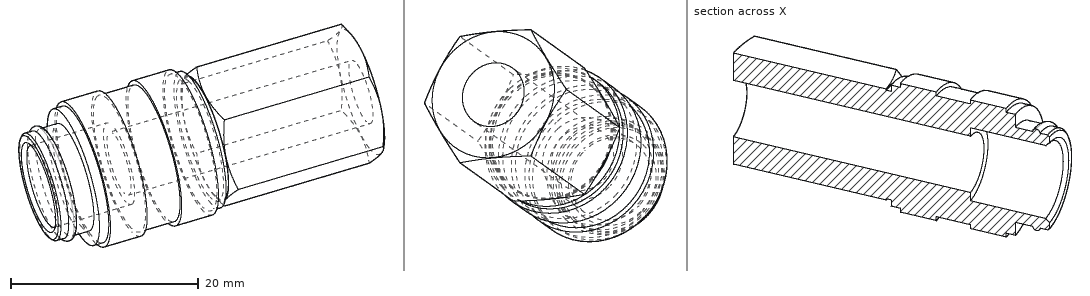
import cadquery as cq
import math

length = 37.0
hex_flats = 14.0
hex_start = 19.1
hex_corner_radius = hex_flats / 2 / math.cos(math.radians(30))
hex_chamfer_angle = 30.0
hex_face_radius = hex_flats / 2 - 0.05

nose_radius = 6.0
nose_chamfer = 0.22
sleeve_radius = 7.62
sleeve_start = 4.0
sleeve_end = 18.55
collar_radius = 8.1
collar_width = 4.2
collar_starts = (5.07, 13.25)
neck_radius = 6.85

ring_center = 1.55
ring_wire_radius = 0.45
ring_outer_radius = 6.4

mouth_radius = 5.0
socket_radius = 4.55
socket_depth = 9.25
bore_radius = 3.5


def cylinder(radius, start, end):
    """Solid cylinder about the Y axis between two Y positions."""
    return cq.Workplane("XZ", origin=(0, start, 0)).circle(radius).extrude(start - end)


def make_hexagon():
    """Hexagon with corners on X, its ends trimmed by shallow cones."""
    prism = (
        cq.Workplane("XZ", origin=(0, hex_start, 0))
        .polygon(6, 2 * hex_corner_radius)
        .extrude(hex_start - length)
    )
    trim_radius = hex_corner_radius + 0.37
    drop = (trim_radius - hex_face_radius) * math.tan(math.radians(hex_chamfer_angle))
    envelope = (
        cq.Workplane("XY")
        .moveTo(0, hex_start)
        .lineTo(hex_face_radius, hex_start)
        .lineTo(trim_radius, hex_start + drop)
        .lineTo(trim_radius, length - drop)
        .lineTo(hex_face_radius, length)
        .lineTo(0, length)
        .close()
        .revolve(360, (0, 0, 0), (0, 1, 0))
    )
    return prism.intersect(envelope)


def make_ring():
    """Round wire ring seated in the nose."""
    wire_center = ring_outer_radius - ring_wire_radius
    return (
        cq.Workplane("XY")
        .center(wire_center, ring_center)
        .circle(ring_wire_radius)
        .revolve(360, (-wire_center, 0, 0), (-wire_center, 1, 0))
    )


def make_body():
    """Nose, sleeve with two raised collars, neck, ring and hexagon joined together."""
    nose = cylinder(nose_radius, 0, sleeve_start).faces("<Y").chamfer(nose_chamfer)
    body = nose.union(cylinder(sleeve_radius, sleeve_start, sleeve_end))
    for start in collar_starts:
        body = body.union(cylinder(collar_radius, start, start + collar_width))
    body = body.union(cylinder(neck_radius, sleeve_end, hex_start))
    return body.union(make_ring()).union(make_hexagon())


def make_bore():
    """Passage with a 45-degree mouth and a plug socket, open through the hexagon."""
    mouth_chamfer = mouth_radius - socket_radius
    profile = (
        cq.Workplane("XY")
        .lineTo(mouth_radius, 0)
        .lineTo(socket_radius, mouth_chamfer)
        .lineTo(socket_radius, socket_depth)
        .lineTo(bore_radius, socket_depth)
        .lineTo(bore_radius, length)
        .lineTo(0, length)
        .close()
    )
    return profile.revolve(360, (0, 0, 0), (0, 1, 0))


result = make_body().cut(make_bore())